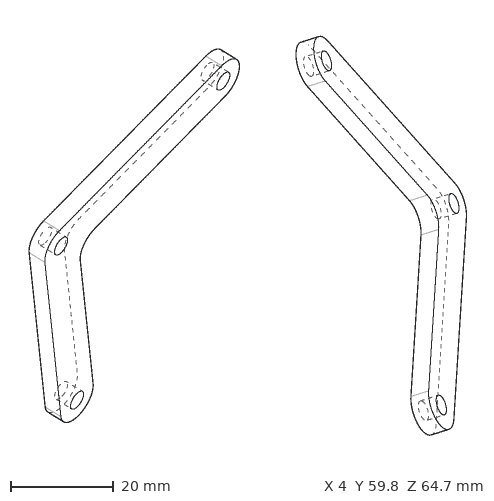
import cadquery as cq
import math

height = 64.7
depth = 59.75
thickness = 4.0
end_radius = 5.0
inner_radius = 5.0
hole_diameter = 4.0

run = depth - 2 * end_radius
rise = height - depth
arm_length = math.hypot(run, rise)
tilt = math.degrees(math.atan2(rise, run))

hole_centers = [(0, 0), (arm_length, 0), (0, -arm_length)]
diagonal = end_radius * math.sqrt(0.5)
inner_tangent = end_radius + inner_radius
inner_middle = inner_tangent - inner_radius * math.sqrt(0.5)


def make_plate():
    """L-shaped plate with round ends and a rounded elbow."""
    return (
        cq.Workplane("YZ")
        .moveTo(0, end_radius)
        .lineTo(arm_length, end_radius)
        .threePointArc((arm_length + end_radius, 0), (arm_length, -end_radius))
        .lineTo(inner_tangent, -end_radius)
        .threePointArc((inner_middle, -inner_middle), (end_radius, -inner_tangent))
        .lineTo(end_radius, -arm_length)
        .threePointArc((0, -arm_length - end_radius), (-end_radius, -arm_length))
        .lineTo(-end_radius, 0)
        .threePointArc((-diagonal, diagonal), (0, end_radius))
        .close()
        .extrude(thickness / 2, both=True)
    )


def make_holes():
    """Through holes at the elbow and at both arm ends."""
    return (
        cq.Workplane("YZ")
        .pushPoints(hole_centers)
        .circle(hole_diameter / 2)
        .extrude(thickness, both=True)
    )


result = (
    make_plate()
    .cut(make_holes())
    .rotate((0, 0, 0), (1, 0, 0), tilt)
    .translate((0, -run / 2, (run - rise) / 2))
)